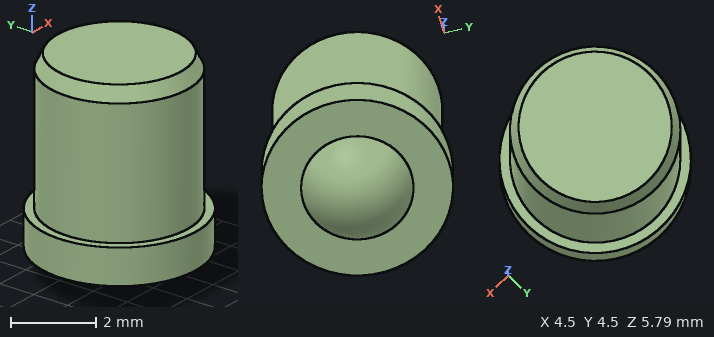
import cadquery as cq

total_height = 5.79
flange_diameter = 4.5
flange_height = 1.0
body_diameter = 4.0
body_height = 4.0
taper_height = 0.4
taper_inset = 0.2
ball_radius = 1.5

ball_protrusion = total_height - flange_height - body_height
ball_center_height = ball_radius - ball_protrusion


def make_flange():
    return cq.Workplane("XY").circle(flange_diameter / 2).extrude(flange_height)


def make_body():
    """Cylindrical shank with a tapered lead-in at its top edge."""
    shank = cq.Workplane("XY").workplane(offset=flange_height).circle(body_diameter / 2).extrude(body_height)
    return shank.faces(">Z").edges().chamfer(taper_height, taper_inset)


def make_ball():
    return cq.Workplane("XY").sphere(ball_radius).translate((0, 0, ball_center_height))


result = make_flange().union(make_body()).union(make_ball())